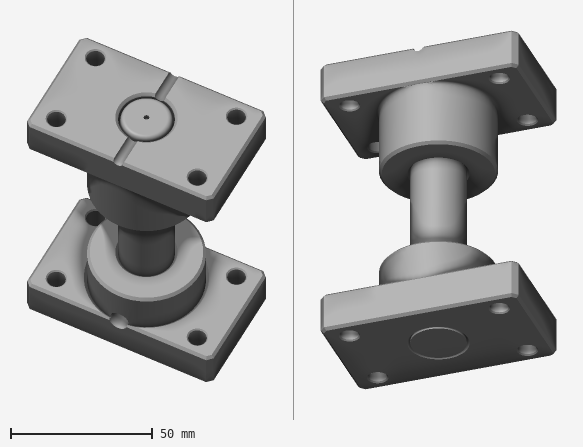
import cadquery as cq
import math

total_height = 110.0
plate_length = 74.0
plate_width = 44.0
plate_thickness = 15.0
upper_plate_bottom = total_height - plate_thickness
plate_corner_chamfer = 2.0
edge_chamfer = 1.0

boss_radius = 21.0
upper_boss_bottom = 70.0
lower_boss_top = 30.0

boss_root_fillet = 1.0
boss_relief_width = 1.1
root_end_angle = 30
root_end_inset = 0.1

pin_radius = 10.0
pin_top_rounding = 1.8
pin_lead_length = 10.0
pin_lead_angle = 5
pin_groove_depth = 0.9
centre_mark_radius = 1.0
centre_mark_depth = 2.0
centre_mark_tip_angle = 118

hole_spacing_x = 56.0
hole_spacing_y = 30.0
hole_radius = 3.3
hole_chamfer = 0.5

oil_groove_radius = 2.0
cross_hole_radius = 3.5
cross_hole_height = plate_thickness


def cylinder(radius, bottom, top):
    """Upright cylinder on the pin axis."""
    return cq.Workplane("XY").workplane(offset=bottom).circle(radius).extrude(top - bottom)


def revolved(profile):
    """Solid of revolution about the pin axis, from (radius, height) points."""
    return cq.Workplane("XZ").polyline(profile).close().revolve(360, (0, 0), (0, 1))


def mounting_plate(bottom):
    """Rectangular plate with chamfered corners and chamfered top and bottom edges."""
    blank = cq.Workplane("XY").workplane(offset=bottom).rect(plate_length, plate_width)
    plate = blank.extrude(plate_thickness).edges("|Z").chamfer(plate_corner_chamfer)
    return plate.faces("<Z or >Z").chamfer(edge_chamfer)


def chamfered_hole(radius, chamfer, bottom, top):
    """Cutter for a through hole that is chamfered at both mouths."""
    mouth = radius + chamfer
    profile = [
        (0, bottom),
        (mouth, bottom),
        (radius, bottom + chamfer),
        (radius, top - chamfer),
        (mouth, top),
        (0, top),
    ]
    return revolved(profile)


def cut_vertical_holes(block, plate_bottom, block_bottom, block_top):
    """Cut the four mounting holes and the pin bore."""
    mounting_hole = chamfered_hole(hole_radius, hole_chamfer, plate_bottom, plate_bottom + plate_thickness)
    for side_x in (-1, 1):
        for side_y in (-1, 1):
            place = (side_x * hole_spacing_x / 2, side_y * hole_spacing_y / 2, 0)
            block = block.cut(mounting_hole.translate(place))
    return block.cut(chamfered_hole(pin_radius, edge_chamfer, block_bottom, block_top))


def boss_root():
    """Fillet ring under the upper plate, running out where the boss touches the edge chamfers."""
    top = upper_plate_bottom
    ring = (
        cq.Workplane("XZ")
        .moveTo(boss_radius, top)
        .lineTo(boss_radius + boss_root_fillet, top)
        .radiusArc((boss_radius, top - boss_root_fillet), -boss_root_fillet)
        .close()
        .revolve(360, (0, 0), (0, 1))
    )
    top_half = plate_width / 2 - edge_chamfer - root_end_inset
    bottom_half = top_half - boss_root_fillet * math.tan(math.radians(root_end_angle))
    bottom = top - boss_root_fillet
    limits = (
        cq.Workplane("YZ", origin=(-plate_length / 2, 0, 0))
        .polyline([(-top_half, top), (top_half, top), (bottom_half, bottom), (-bottom_half, bottom)])
        .close()
        .extrude(plate_length)
    )
    return ring.intersect(limits)


def make_upper_block():
    block = mounting_plate(upper_plate_bottom)
    block = block.union(cylinder(boss_radius, upper_boss_bottom, total_height - edge_chamfer))
    block = block.faces("<Z").edges().chamfer(edge_chamfer)
    block = block.union(boss_root())
    oil_groove = (
        cq.Workplane("XZ", origin=(0, plate_width / 2, total_height))
        .circle(oil_groove_radius)
        .extrude(plate_width)
    )
    block = block.cut(oil_groove)
    return cut_vertical_holes(block, upper_plate_bottom, upper_boss_bottom, total_height)


def make_lower_block():
    block = mounting_plate(0)
    relief = revolved([
        (boss_radius, plate_thickness),
        (boss_radius + boss_relief_width, plate_thickness),
        (boss_radius, plate_thickness - boss_relief_width),
    ])
    block = block.cut(relief)
    boss = cylinder(boss_radius, edge_chamfer, lower_boss_top).faces(">Z").chamfer(edge_chamfer)
    block = cut_vertical_holes(block.union(boss), 0, 0, lower_boss_top)
    cross_hole = (
        cq.Workplane("XZ")
        .center(0, cross_hole_height)
        .circle(cross_hole_radius)
        .extrude(plate_width / 2)
    )
    return block.cut(cross_hole)


def pin_blank():
    """Round pin with a slightly tapered lead and a rounded top rim."""
    lead_radius = pin_radius - pin_lead_length * math.tan(math.radians(pin_lead_angle))
    profile = [
        (0, 0),
        (pin_radius, 0),
        (pin_radius, total_height - pin_lead_length),
        (lead_radius, total_height),
        (0, total_height),
    ]
    return revolved(profile).faces(">Z").edges().fillet(pin_top_rounding)


def pin_groove():
    """Ring groove with 45 degree flanks, as wide as the cross hole that opens onto it."""
    mouth_half = cross_hole_radius
    floor_half = mouth_half - pin_groove_depth
    floor_radius = pin_radius - pin_groove_depth
    profile = [
        (pin_radius, cross_hole_height - mouth_half),
        (floor_radius, cross_hole_height - floor_half),
        (floor_radius, cross_hole_height + floor_half),
        (pin_radius, cross_hole_height + mouth_half),
    ]
    return revolved(profile)


def centre_mark():
    """Small drilled centre mark, with a conical bottom, in the top of the pin."""
    shoulder = total_height - centre_mark_depth
    tip_length = centre_mark_radius / math.tan(math.radians(centre_mark_tip_angle / 2))
    profile = [
        (0, shoulder - tip_length),
        (centre_mark_radius, shoulder),
        (centre_mark_radius, total_height),
        (0, total_height),
    ]
    return revolved(profile)


def make_pin():
    return pin_blank().cut(pin_groove()).cut(centre_mark())


upper_block = make_upper_block().solids()
lower_block = make_lower_block().solids()
pin = make_pin().solids()
result = cq.Compound.makeCompound([upper_block.val(), lower_block.val(), pin.val()])